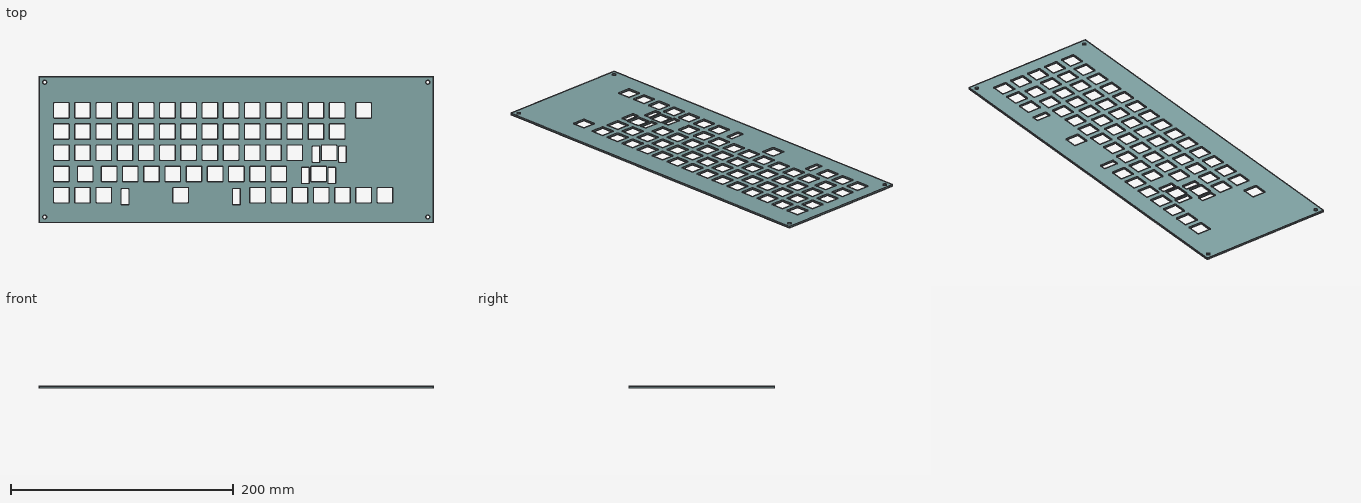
import cadquery as cq

plate_length = 354.0
plate_width = 131.03
plate_thickness = 1.7

screw_hole_diameter = 3.4
screw_hole_inset = 5.0

opening_corner_radius = 0.5

key_unit = 19.05
switch_opening = 13.8
first_key_from_left = 19.95
top_row_from_back = 30.23

stabiliser_width = 6.8
stabiliser_height = 14.5
stabiliser_drop = 1.3
wide_key_stabiliser_offset = 11.9
space_bar_stabiliser_offset = 50.0

backspace_cap = 1.5
enter_cap = 2.25
shift_cap = 2.75
space_bar_cap = 6.25
left_shift_cap = 1.25

backspace_step = (1 + backspace_cap) / 2
enter_step = (1 + enter_cap) / 2
shift_step = (1 + shift_cap) / 2
space_bar_step = (1 + space_bar_cap) / 2
left_shift_step = (1 + left_shift_cap) / 2

row_steps = [
    [1] * 13 + [backspace_step],
    [1] * 13,
    [1] * 11 + [enter_step],
    [left_shift_step] * 2 + [1] * 8 + [shift_step],
    [1] * 2 + [space_bar_step] * 2 + [1] * 6,
]

stabilised_keys = [
    (2, 12, wide_key_stabiliser_offset),
    (3, 11, wide_key_stabiliser_offset),
    (4, 3, space_bar_stabiliser_offset),
]


def key_centre(row, position):
    """Centre of a key, counted from the back row and the left end of that row."""
    x = -plate_length / 2 + first_key_from_left + key_unit * sum(row_steps[row][:position])
    y = plate_width / 2 - top_row_from_back - key_unit * row
    return (x, y)


def switch_centres():
    """Centres of all the key switch openings."""
    centres = []
    for row, steps in enumerate(row_steps):
        for position in range(len(steps) + 1):
            centres.append(key_centre(row, position))
    return centres


def stabiliser_centres():
    """Centres of the stabiliser openings, one on each side of every stabilised key."""
    centres = []
    for row, position, offset in stabilised_keys:
        x, y = key_centre(row, position)
        for side in (-1, 1):
            centres.append((x + side * offset, y - stabiliser_drop))
    return centres


def make_plate():
    """Flat plate with its underside on Z = 0 and its outline centred on the Z axis."""
    return cq.Workplane("XY").rect(plate_length, plate_width).extrude(plate_thickness)


def cut_screw_holes(plate):
    """Through holes near the four corners."""
    spacing_x = plate_length - 2 * screw_hole_inset
    spacing_y = plate_width - 2 * screw_hole_inset
    holes = (
        cq.Workplane("XY")
        .rect(spacing_x, spacing_y, forConstruction=True)
        .vertices()
        .circle(screw_hole_diameter / 2)
        .extrude(plate_thickness)
    )
    return plate.cut(holes)


def cut_openings(plate, centres, width, height):
    """Equal rounded rectangular through openings at the given centres."""
    openings = (
        cq.Workplane("XY")
        .pushPoints(centres)
        .rect(width, height)
        .extrude(plate_thickness)
        .edges("|Z")
        .fillet(opening_corner_radius)
    )
    return plate.cut(openings)


result = make_plate()
result = cut_screw_holes(result)
result = cut_openings(result, switch_centres(), switch_opening, switch_opening)
result = cut_openings(result, stabiliser_centres(), stabiliser_width, stabiliser_height)